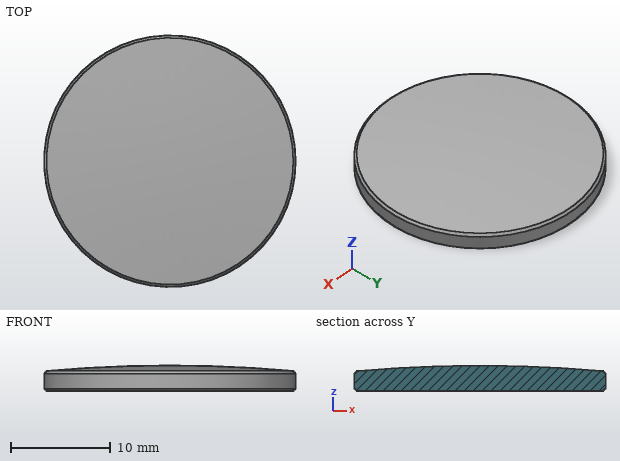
import cadquery as cq

diameter = 25.4
center_thickness = 2.6
dome_height = 0.55
top_bevel = 0.25
top_bevel_drop = 0.28
bottom_bevel = 0.25

radius = diameter / 2
dome_edge_radius = radius - top_bevel
dome_edge_z = center_thickness - dome_height

sphere_radius = (dome_edge_radius**2 + dome_height**2) / (2 * dome_height)
mid_radius = dome_edge_radius / 2
mid_drop = sphere_radius - (sphere_radius**2 - mid_radius**2) ** 0.5

half_section = (
    cq.Workplane("XZ")
    .lineTo(radius - bottom_bevel, 0)
    .lineTo(radius, bottom_bevel)
    .lineTo(radius, dome_edge_z - top_bevel_drop)
    .lineTo(dome_edge_radius, dome_edge_z)
    .threePointArc((mid_radius, center_thickness - mid_drop), (0, center_thickness))
    .close()
)

result = half_section.revolve(360, (0, 0, 0), (0, 1, 0))